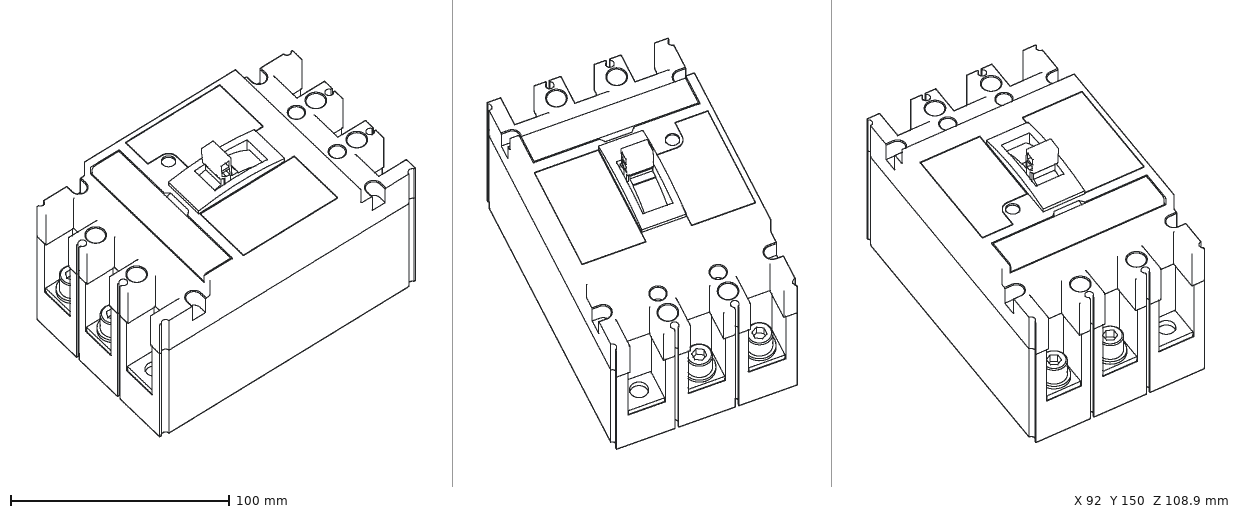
import cadquery as cq
import math

WIDTH = 92.0
LENGTH = 150.0
SEAM_Z = 59.0
SHOULDER_Z = 80.0
DECK_Z = 90.0
DECK_BACK_Y = 42.2
DECK_FRONT_Y = -46.4
DECK_ROOT_RADIUS = 0.9
EDGE_RADIUS = 0.5
ENDS = (1, -1)
SIDES = (1, -1)

POLE_PITCH = 30.0
POLES_X = (-POLE_PITCH, 0, POLE_PITCH)
BETWEEN_POLES_X = (-POLE_PITCH / 2, POLE_PITCH / 2)
SLOT_INNER_Y = 58.8
COVER_SLOT_WIDTH = 16.5
BASE_SLOT_WIDTH = 18.6
SLOT_FLOOR_Z = 24.6
PLATE_WIDTH = 18.0
PLATE_THICKNESS = 3.0
PLATE_SETBACK = 0.3
PLATE_TOP_Z = SLOT_FLOOR_Z + PLATE_THICKNESS
TERMINAL_Y = 66.0
TERMINAL_HOLE_RADIUS = 4.4

SCREWED_POLES_X = POLES_X[:2]
WASHER_RADIUS = 7.6
WASHER_THICKNESS = 1.6
SCREW_HEAD_RADIUS = 6.2
SCREW_TOP_Z = 39.0
SCREW_CHAMFER = 0.6
SOCKET_SIDES = 6
SOCKET_ACROSS_FLATS = 6.0
SOCKET_DEPTH = 4.5

GROOVES_X = (-WIDTH / 2, *BETWEEN_POLES_X, WIDTH / 2)
GROOVE_Y = 72.3
GROOVE_RADIUS = 2.0
GROOVE_SLIT = 1.8

MOUNT_Y = 64.5
MOUNT_RADIUS = 2.5
MOUNT_BORE_RADIUS = 4.5
BLIND_Y = 53.1
BLIND_RADIUS = 3.8
NOTCH_Y = 52.6
NOTCH_X = 42.2
NOTCH_RADIUS = 3.8
RECESS_DEPTH = 10.0
RIM_CHAMFER = 0.5

BEZEL_WIDTH = 22.2
BEZEL_CENTER_Y = 0.2
BEZEL_LENGTH = 50.4
BEZEL_END_Z = 92.0
BEZEL_CROWN_Z = 94.6

WELL_WIDTH = 15.0
WELL_BACK_Y = 18.2
WELL_FRONT_Y = -12.6
WELL_FLOOR_Z = 75.0

LABEL_INNER_X = 11.4
LABEL_OUTER_X = 43.2
LABEL_BACK_Y = 30.8
LABEL_FRONT_Y = -24.5
LABEL_DEPTH = 0.5
BUTTON_X = -22.0
BUTTON_Y = -16.2
BUTTON_RADIUS = 3.3
LABEL_CORNER_RADIUS = 4.8
BUTTON_DEPTH = 1.0

FLAP_RECESS_HALF_WIDTH = 41.5
FLAP_RECESS_BACK_Y = -29.5
FLAP_FLOOR_Z = 85.4
FLAP_GAP = 0.6
FLAP_SETBACK = 0.5
FLAP_FRONT_Y = DECK_FRONT_Y + FLAP_SETBACK
FLAP_NOSE_RADIUS = 1.8
FINGER_BACK_Y = -27.3
FINGER_BACK_HALF_WIDTH = 6.6
FINGER_FRONT_HALF_WIDTH = 8.5

GRIP_WIDTH = 13.2
GRIP_TOP_Z = 108.9
GRIP_EDGE = 0.5
GRIP_WEB = 5.7
NECK_TOP_Z = 96.5
NECK_BACK_Y = -2.8
NECK_FRONT_Y = -6.0
DRUM_WIDTH = 11.4
DRUM_RADIUS = 30.0
DRUM_AXIS_Z = 63.8
COLLAR_FOOT_Z = 90.0


def box(x0, x1, y0, y1, z0, z1):
    """Rectangular block between two opposite corners."""
    return cq.Workplane("XY").box(x1 - x0, y1 - y0, z1 - z0, centered=False).translate((x0, y0, z0))


def cylinder(x, y, z0, z1, radius):
    """Upright cylinder."""
    return cq.Workplane("XY").circle(radius).extrude(z1 - z0).translate((x, y, z0))


def side_prism(outline, width):
    """Extrude a closed outline in the YZ plane evenly to both sides of X = 0."""
    return outline.extrude(width / 2, both=True)


def slot_block(x, end, width, z0, z1, setback=0.0):
    """Block in a terminal slot at one end of the housing, held back from the end face."""
    y0, y1 = sorted((end * SLOT_INNER_Y, end * (LENGTH / 2 - setback)))
    return box(x - width / 2, x + width / 2, y0, y1, z0, z1)


def cut_grooves(body):
    """Cut the vertical keyhole grooves, which are halved at the outer corners."""
    for x in GROOVES_X:
        for end in ENDS:
            y0, y1 = sorted((end * GROOVE_Y, end * LENGTH / 2))
            body = body.cut(cylinder(x, end * GROOVE_Y, 0, SHOULDER_Z, GROOVE_RADIUS))
            body = body.cut(box(x - GROOVE_SLIT / 2, x + GROOVE_SLIT / 2, y0, y1, 0, SHOULDER_Z))
    return body


def make_screw():
    """Washer and socket head on the Z axis, standing on the terminal plate."""
    washer = cylinder(0, 0, PLATE_TOP_Z, PLATE_TOP_Z + WASHER_THICKNESS, WASHER_RADIUS)
    head = cylinder(0, 0, PLATE_TOP_Z, SCREW_TOP_Z, SCREW_HEAD_RADIUS)
    head = head.faces(">Z").edges().chamfer(SCREW_CHAMFER)
    socket = (
        cq.Workplane("XY", origin=(0, 0, SCREW_TOP_Z - SOCKET_DEPTH))
        .polygon(SOCKET_SIDES, SOCKET_ACROSS_FLATS / math.cos(math.pi / SOCKET_SIDES))
        .extrude(SOCKET_DEPTH)
        .rotate((0, 0, 0), (0, 0, 1), 180 / SOCKET_SIDES)
    )
    return washer.union(head).cut(socket)


def make_base():
    """Lower housing with its terminal plates and screws."""
    body = box(-WIDTH / 2, WIDTH / 2, -LENGTH / 2, LENGTH / 2, 0, SEAM_Z)
    screw = make_screw()
    for end in ENDS:
        for x in POLES_X:
            body = body.cut(slot_block(x, end, BASE_SLOT_WIDTH, SLOT_FLOOR_Z, SEAM_Z))
            plate = slot_block(x, end, PLATE_WIDTH, SLOT_FLOOR_Z, PLATE_TOP_Z, PLATE_SETBACK)
            if x in SCREWED_POLES_X:
                plate = plate.union(screw.translate((x, end * TERMINAL_Y, 0)))
            else:
                hole = cylinder(x, end * TERMINAL_Y, SLOT_FLOOR_Z, PLATE_TOP_Z, TERMINAL_HOLE_RADIUS)
                plate = plate.cut(hole)
            body = body.union(plate)
        for x in BETWEEN_POLES_X:
            body = body.cut(cylinder(x, end * MOUNT_Y, 0, SEAM_Z, MOUNT_RADIUS))
    return cut_grooves(body)


def make_cover_blank():
    """Stepped block with rounded roots where the deck rises from the shoulders."""
    blank = side_prism(
        cq.Workplane("YZ").polyline([
            (-LENGTH / 2, SEAM_Z),
            (LENGTH / 2, SEAM_Z),
            (LENGTH / 2, SHOULDER_Z),
            (DECK_BACK_Y, SHOULDER_Z),
            (DECK_BACK_Y, DECK_Z),
            (DECK_FRONT_Y, DECK_Z),
            (DECK_FRONT_Y, SHOULDER_Z),
            (-LENGTH / 2, SHOULDER_Z),
        ]).close(),
        WIDTH,
    )
    for y in (DECK_BACK_Y, DECK_FRONT_Y):
        root = cq.selectors.NearestToPointSelector((0, y, SHOULDER_Z))
        blank = blank.edges(root).fillet(DECK_ROOT_RADIUS)
    return blank.faces(">Z").edges().fillet(EDGE_RADIUS)


def cut_cover_slots(body):
    """Cut the terminal slots and round the shoulder edges around them."""
    for end in ENDS:
        for x in POLES_X:
            body = body.cut(slot_block(x, end, COVER_SLOT_WIDTH, SEAM_Z, SHOULDER_Z))
    margin = 0.2
    for end in ENDS:
        y0, y1 = sorted((end * (SLOT_INNER_Y - margin), end * (LENGTH / 2 + margin)))
        half = WIDTH / 2 - margin
        rim = cq.selectors.BoxSelector((-half, y0, SHOULDER_Z - margin), (half, y1, SHOULDER_Z + margin))
        body = body.edges(rim).fillet(EDGE_RADIUS)
    return body


def round_end_cutter(x, y, length, width, floor_z):
    """Upright cutter with round ends along X and a flared mouth at the shoulder surface."""
    shank = cq.Workplane("XY", origin=(x, y, floor_z)).slot2D(length, width)
    mouth = cq.Workplane("XY", origin=(x, y, SHOULDER_Z - RIM_CHAMFER)).slot2D(length, width)
    return shank.extrude(SHOULDER_Z - floor_z).union(mouth.extrude(RIM_CHAMFER, taper=-45))


def round_cutter(x, y, radius, floor_z):
    """Upright round cutter with a flared mouth at the shoulder surface."""
    shank = cylinder(x, y, floor_z, SHOULDER_Z, radius)
    mouth = cq.Workplane("XY", origin=(x, y, SHOULDER_Z - RIM_CHAMFER)).circle(radius)
    return shank.union(mouth.extrude(RIM_CHAMFER, taper=-45))


def cut_shoulder_recesses(body):
    """Mounting bores, blind holes and side notches in the shoulders."""
    floor_z = SHOULDER_Z - RECESS_DEPTH
    for x in BETWEEN_POLES_X:
        body = body.cut(round_cutter(x, BLIND_Y, BLIND_RADIUS, floor_z))
        for end in ENDS:
            body = body.cut(round_cutter(x, end * MOUNT_Y, MOUNT_BORE_RADIUS, SEAM_Z))
    notch_length = 2 * (WIDTH / 2 - NOTCH_X + NOTCH_RADIUS)
    for side in SIDES:
        for end in ENDS:
            notch = round_end_cutter(
                side * WIDTH / 2, end * NOTCH_Y, notch_length, 2 * NOTCH_RADIUS, floor_z
            )
            body = body.cut(notch)
    return body


def make_label_cutters():
    """Two shallow label fields; the left one steps around the button."""
    floor_z = DECK_Z - LABEL_DEPTH
    right = box(LABEL_INNER_X, LABEL_OUTER_X, LABEL_FRONT_Y, LABEL_BACK_Y, floor_z, DECK_Z)
    left = box(-LABEL_OUTER_X, -LABEL_INNER_X, LABEL_FRONT_Y, LABEL_BACK_Y, floor_z, DECK_Z)
    corner = box(
        BUTTON_X - LABEL_CORNER_RADIUS, -LABEL_INNER_X,
        LABEL_FRONT_Y, BUTTON_Y + LABEL_CORNER_RADIUS,
        floor_z, DECK_Z,
    )
    corner = corner.edges("|Z and <X and >Y").fillet(LABEL_CORNER_RADIUS)
    return left.cut(corner).union(right)


def add_flap(body):
    """Front flap with a rounded nose, a gap around it and a sloped finger recess behind."""
    half = FLAP_RECESS_HALF_WIDTH
    recess = box(-half, half, DECK_FRONT_Y, FLAP_RECESS_BACK_Y, FLAP_FLOOR_Z, DECK_Z)
    flap = box(
        -half + FLAP_GAP, half - FLAP_GAP,
        FLAP_FRONT_Y, FLAP_RECESS_BACK_Y - FLAP_GAP,
        FLAP_FLOOR_Z, DECK_Z,
    )
    flap = flap.edges("<Y and >Z").fillet(FLAP_NOSE_RADIUS)
    slope = side_prism(
        cq.Workplane("YZ").polyline([
            (FINGER_BACK_Y, DECK_Z),
            (FLAP_RECESS_BACK_Y, DECK_Z),
            (FLAP_RECESS_BACK_Y, FLAP_FLOOR_Z),
        ]).close(),
        2 * FINGER_FRONT_HALF_WIDTH,
    )
    finger = (
        cq.Workplane("XY", origin=(0, 0, FLAP_FLOOR_Z))
        .polyline([
            (-FINGER_BACK_HALF_WIDTH, FINGER_BACK_Y),
            (FINGER_BACK_HALF_WIDTH, FINGER_BACK_Y),
            (FINGER_FRONT_HALF_WIDTH, FLAP_RECESS_BACK_Y),
            (-FINGER_FRONT_HALF_WIDTH, FLAP_RECESS_BACK_Y),
        ])
        .close()
        .extrude(DECK_Z - FLAP_FLOOR_Z)
        .intersect(slope)
    )
    return body.cut(recess).cut(finger).union(flap)


def make_bezel():
    """Low crowned bezel on the deck, with its foot reaching down to the label floor."""
    foot_z = DECK_Z - LABEL_DEPTH
    back_y = BEZEL_CENTER_Y + BEZEL_LENGTH / 2
    front_y = BEZEL_CENTER_Y - BEZEL_LENGTH / 2
    outline = (
        cq.Workplane("YZ")
        .moveTo(front_y, foot_z)
        .lineTo(front_y, BEZEL_END_Z)
        .threePointArc((BEZEL_CENTER_Y, BEZEL_CROWN_Z), (back_y, BEZEL_END_Z))
        .lineTo(back_y, foot_z)
        .close()
    )
    return side_prism(outline, BEZEL_WIDTH)


def make_cover():
    """Upper housing with the bezel, labels, flap and handle well."""
    body = cut_cover_slots(make_cover_blank())
    body = cut_shoulder_recesses(body)
    body = cut_grooves(body)
    body = body.cut(make_label_cutters())
    body = body.cut(cylinder(BUTTON_X, BUTTON_Y, DECK_Z - BUTTON_DEPTH, DECK_Z, BUTTON_RADIUS))
    body = add_flap(body)
    body = body.union(make_bezel())
    well = box(
        -WELL_WIDTH / 2, WELL_WIDTH / 2,
        WELL_FRONT_Y, WELL_BACK_Y,
        WELL_FLOOR_Z, BEZEL_CROWN_Z,
    )
    return body.cut(well)


def drum_height(y):
    """Height of the round drum surface at a place along Y."""
    return DRUM_AXIS_Z + math.sqrt(DRUM_RADIUS ** 2 - y ** 2)


def make_drum():
    """Round-topped drum that fills the well from back to front."""
    outline = (
        cq.Workplane("YZ")
        .moveTo(WELL_FRONT_Y, WELL_FLOOR_Z)
        .lineTo(WELL_FRONT_Y, drum_height(WELL_FRONT_Y))
        .threePointArc((0, drum_height(0)), (WELL_BACK_Y, drum_height(WELL_BACK_Y)))
        .lineTo(WELL_BACK_Y, WELL_FLOOR_Z)
        .close()
    )
    return side_prism(outline, DRUM_WIDTH)


def make_collar():
    """Stepped collar on the drum around the foot of the grip."""
    outline = cq.Workplane("YZ").polyline([
        (2.4, COLLAR_FOOT_Z),
        (2.4, 94.4),
        (-1.2, 94.4),
        (-1.2, NECK_TOP_Z),
        (-7.5, NECK_TOP_Z),
        (-7.5, COLLAR_FOOT_Z),
    ]).close()
    return side_prism(outline, DRUM_WIDTH)


def make_grip():
    """Leaning grip on a narrow neck, with two pockets in each flank."""
    head = side_prism(
        cq.Workplane("YZ").polyline([
            (-1.8, NECK_TOP_Z),
            (-2.4, GRIP_TOP_Z),
            (-9.6, 108.5),
            (-8.8, 98.1),
            (NECK_FRONT_Y, NECK_TOP_Z),
        ]).close(),
        GRIP_WIDTH,
    )
    head = head.edges("not <Z").fillet(GRIP_EDGE)
    neck = box(
        -GRIP_WIDTH / 2, GRIP_WIDTH / 2,
        NECK_FRONT_Y, NECK_BACK_Y,
        COLLAR_FOOT_Z, NECK_TOP_Z + GRIP_EDGE,
    )
    upper_pocket = cq.Workplane("YZ").polyline([
        (-3.8, 107.4),
        (-8.2, 107.1),
        (-8.0, 103.4),
        (-3.6, 103.4),
    ]).close()
    lower_pocket = cq.Workplane("YZ").polyline([
        (-3.3, 101.8),
        (-7.8, 101.8),
        (-7.6, 99.3),
        (-5.2, 97.6),
        (-3.2, 97.6),
    ]).close()
    pockets = side_prism(upper_pocket, GRIP_WIDTH).union(side_prism(lower_pocket, GRIP_WIDTH))
    web = cq.Workplane("XY").box(GRIP_WEB, LENGTH, 2 * GRIP_TOP_Z)
    return head.union(neck).cut(pockets.cut(web))


def make_handle():
    """Handle on its drum, resting in the well of the cover."""
    return make_drum().union(make_collar()).union(make_grip())


base = make_base()
cover = make_cover()
handle = make_handle()

result = cq.Compound.makeCompound([body.solids().val() for body in (base, cover, handle)])